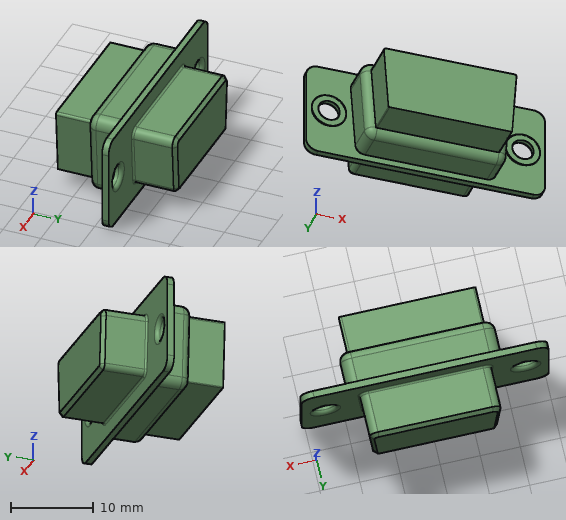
import cadquery as cq
import math


FLANGE_WIDTH = 30.8
FLANGE_HEIGHT = 12.55
FLANGE_THICKNESS = 0.85
FLANGE_CORNER_RADIUS = 1.5

HOLE_SPACING = 25.0
HOLE_DIAMETER = 2.75
RING_DIAMETER = 4.45
HOLE_REAR_FILLET = 0.52
RING_HEIGHT = 0.15

SIDE_ANGLE = 4

SHELL_MID_WIDTH = 18.75
SHELL_HEIGHT = 10.85
SHELL_LENGTH = 4.38
SHELL_TOP_RADIUS = 1.42
SHELL_BOTTOM_RADIUS = 1.23
SHELL_EDGE_FILLET = 1.08

INSERT_INSET = 1.1
INSERT_END = 9.03

REAR_MID_WIDTH = 15.95
REAR_HEIGHT = 8
REAR_LENGTH = 5.82
REAR_TOP_RADIUS = 1.05
REAR_BOTTOM_RADIUS = 0.75
REAR_CHAMFER = 0.5
REAR_ROOT_FILLET = 0.25

ROOT_BOX_MARGIN = 0.03


def extrude_towards(start, end):
    """XZ workplane at Y = start and the signed depth that reaches Y = end."""
    return cq.Workplane("XZ", origin=(0, start, 0)), start - end


def d_prism(mid_width, height, top_radius, bottom_radius, start, end):
    """D-shaped prism between two Y positions, wider at the top."""
    half_height = height / 2
    lean = half_height * math.tan(math.radians(SIDE_ANGLE))
    half_top = mid_width / 2 + lean
    half_bottom = mid_width / 2 - lean
    corners = [
        (-half_bottom, -half_height),
        (half_bottom, -half_height),
        (half_top, half_height),
        (-half_top, half_height),
    ]
    plane, depth = extrude_towards(start, end)
    prism = plane.polyline(corners).close().extrude(depth)
    prism = prism.edges("|Y").edges(">Z").fillet(top_radius)
    return prism.edges("|Y").edges("<Z").fillet(bottom_radius)


def hole_discs(diameter):
    """Discs on both screw hole axes, from the ring faces to the rear of the flange."""
    plane, depth = extrude_towards(-RING_HEIGHT, FLANGE_THICKNESS)
    hole_centres = [(-HOLE_SPACING / 2, 0), (HOLE_SPACING / 2, 0)]
    return plane.pushPoints(hole_centres).circle(diameter / 2).extrude(depth)


def make_flange():
    """Plate with two ringed screw holes, each flared at the rear by a fillet."""
    plane, depth = extrude_towards(0, FLANGE_THICKNESS)
    flange = plane.rect(FLANGE_WIDTH, FLANGE_HEIGHT).extrude(depth)
    flange = flange.union(hole_discs(RING_DIAMETER)).cut(hole_discs(HOLE_DIAMETER))
    flange = flange.faces(">Y").edges("%CIRCLE").fillet(HOLE_REAR_FILLET)
    return flange.edges("|Y and (<X or >X)").fillet(FLANGE_CORNER_RADIUS)


def make_shell():
    """D-shaped shell with its front rim rounded."""
    shell = d_prism(SHELL_MID_WIDTH, SHELL_HEIGHT, SHELL_TOP_RADIUS, SHELL_BOTTOM_RADIUS,
                    0, -SHELL_LENGTH)
    return shell.faces("<Y").edges().fillet(SHELL_EDGE_FILLET)


def make_insert():
    """Block that sticks out of the shell; its outline is the shell outline moved inwards."""
    mid_inset = INSERT_INSET / math.cos(math.radians(SIDE_ANGLE))
    return d_prism(SHELL_MID_WIDTH - 2 * mid_inset, SHELL_HEIGHT - 2 * INSERT_INSET,
                   SHELL_TOP_RADIUS - INSERT_INSET, SHELL_BOTTOM_RADIUS - INSERT_INSET,
                   0, -INSERT_END)


def add_rear(flange):
    """Join the rear body and round the inside corner where it meets the flange."""
    rear = d_prism(REAR_MID_WIDTH, REAR_HEIGHT, REAR_TOP_RADIUS, REAR_BOTTOM_RADIUS,
                   FLANGE_THICKNESS, FLANGE_THICKNESS + REAR_LENGTH)
    rear = rear.faces(">Y").edges().chamfer(REAR_CHAMFER)
    root_box = cq.selectors.BoxSelector(
        (-SHELL_MID_WIDTH / 2, FLANGE_THICKNESS - ROOT_BOX_MARGIN, -SHELL_HEIGHT / 2),
        (SHELL_MID_WIDTH / 2, FLANGE_THICKNESS + ROOT_BOX_MARGIN, SHELL_HEIGHT / 2),
    )
    return flange.union(rear).edges(root_box).fillet(REAR_ROOT_FILLET)


result = add_rear(make_flange()).union(make_shell()).union(make_insert())